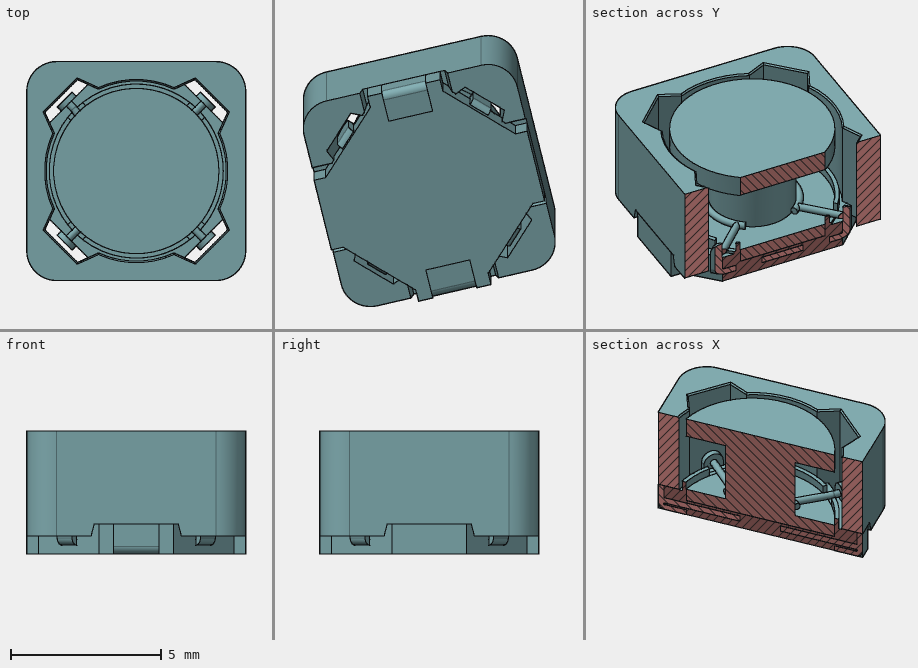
import cadquery as cq
import math


WIDTH = 7.3
HEIGHT = 4.1
CORNER_RADIUS = 1.0
SHIELD_BOTTOM = 0.6
BORE_RADIUS = 3.0
BORE_CHAMFER = 0.05
WINDOW_REACH = 3.53
WINDOW_HALF_WIDTH = 0.77
WINDOW_NECK_HALF_WIDTH = 1.04
NOTCH_TOP = 1.0
NOTCH_TOP_HALF_WIDTH = 1.4
NOTCH_BOTTOM_HALF_WIDTH = 1.505

SHEET = 0.2
OUTER_BEND_RADIUS = 0.25
INNER_BEND_RADIUS = OUTER_BEND_RADIUS - SHEET
PAD_WIDTH = 1.505
FOOT_LENGTH = 1.0
WEB_BOTTOM = 0.29
WEB_INNER_Y = 0.73
ARM_INNER_REACH = 1.24
POST_WIDTH = 0.7

DRUM_RADIUS = 2.75
CORE_RADIUS = 1.46
DRUM_BOTTOM = SHIELD_BOTTOM
LOWER_FLANGE = 0.505
UPPER_FLANGE = 0.75
LOWER_FLANGE_TOP = DRUM_BOTTOM + LOWER_FLANGE
UPPER_FLANGE_BOTTOM = HEIGHT - UPPER_FLANGE

WIRE_RADIUS = 0.125
WIRE_Z = LOWER_FLANGE_TOP + WIRE_RADIUS
COIL_RADIUS = CORE_RADIUS + WIRE_RADIUS
COIL_OVERRUN = 10.0
BEND_REACH = 2.95
SLANT_ANGLE = 7.0

BASE_TOP = NOTCH_TOP
TAB_HALF_WIDTH = 1.24
TAB_ROOT = 3.25
CORNER_FACE_REACH = (TAB_ROOT + TAB_HALF_WIDTH) / math.sqrt(2)
RIM_RADIUS = 2.9
RIM_TOP = 1.4

DIAGONALS = (45, 135, 225, 315)
HALF_WIDTH = WIDTH / 2


def polar(radius, degrees, z):
    """Point at a given distance and direction from the Z axis."""
    angle = math.radians(degrees)
    return cq.Vector(radius * math.cos(angle), radius * math.sin(angle), z)


def disc(radius, bottom, top):
    """Upright cylinder on the Z axis."""
    return cq.Workplane("XY").workplane(offset=bottom).circle(radius).extrude(top - bottom)


def box(x_limits, y_limits, z_limits):
    """Box between three pairs of limits."""
    size = [high - low for low, high in (x_limits, y_limits, z_limits)]
    corner = (x_limits[0], y_limits[0], z_limits[0])
    return cq.Workplane("XY").box(*size, centered=False).translate(corner)


def turned(shape, degrees):
    """Shape turned about the Z axis."""
    return shape.rotate((0, 0, 0), (0, 0, 1), degrees)


def make_bore():
    """Round bore with a tapered window towards each corner."""
    bore = disc(BORE_RADIUS, SHIELD_BOTTOM, HEIGHT)
    neck_reach = math.sqrt(BORE_RADIUS ** 2 - WINDOW_NECK_HALF_WIDTH ** 2)
    window = (
        cq.Workplane("XY").workplane(offset=SHIELD_BOTTOM)
        .moveTo(0, -WINDOW_NECK_HALF_WIDTH)
        .lineTo(neck_reach, -WINDOW_NECK_HALF_WIDTH)
        .lineTo(WINDOW_REACH, -WINDOW_HALF_WIDTH)
        .lineTo(WINDOW_REACH, WINDOW_HALF_WIDTH)
        .lineTo(neck_reach, WINDOW_NECK_HALF_WIDTH)
        .lineTo(0, WINDOW_NECK_HALF_WIDTH)
        .close().extrude(HEIGHT - SHIELD_BOTTOM)
    )
    for angle in DIAGONALS:
        bore = bore.union(turned(window, angle))
    return bore


def make_shield():
    shield = (
        cq.Workplane("XY").workplane(offset=SHIELD_BOTTOM)
        .rect(WIDTH, WIDTH).extrude(HEIGHT - SHIELD_BOTTOM)
        .edges("|Z").fillet(CORNER_RADIUS)
        .cut(make_bore())
    )
    bore_rim = shield.faces(">Z").val().innerWires()[0]
    shield = shield.newObject(bore_rim.Edges()).chamfer(BORE_CHAMFER)

    notch = (
        cq.Workplane("XZ")
        .moveTo(-NOTCH_BOTTOM_HALF_WIDTH, SHIELD_BOTTOM)
        .lineTo(-NOTCH_TOP_HALF_WIDTH, NOTCH_TOP)
        .lineTo(NOTCH_TOP_HALF_WIDTH, NOTCH_TOP)
        .lineTo(NOTCH_BOTTOM_HALF_WIDTH, SHIELD_BOTTOM)
        .close().extrude(HALF_WIDTH, both=True)
    )
    return shield.cut(notch).cut(turned(notch, 90))


def make_drum():
    lower_flange = disc(DRUM_RADIUS, DRUM_BOTTOM, LOWER_FLANGE_TOP)
    core = disc(CORE_RADIUS, DRUM_BOTTOM, HEIGHT)
    upper_flange = disc(DRUM_RADIUS, UPPER_FLANGE_BOTTOM, HEIGHT)
    return lower_flange.union(core).union(upper_flange)


def bent_strip(outer, inner, bottom, top, width):
    """Upright strip facing +X at `outer`, bent at its foot and running in to `inner`."""
    return (
        cq.Workplane("XZ")
        .moveTo(inner, bottom)
        .lineTo(outer - OUTER_BEND_RADIUS, bottom)
        .radiusArc((outer, bottom + OUTER_BEND_RADIUS), -OUTER_BEND_RADIUS)
        .lineTo(outer, top)
        .lineTo(outer - SHEET, top)
        .lineTo(outer - SHEET, bottom + OUTER_BEND_RADIUS)
        .radiusArc((outer - OUTER_BEND_RADIUS, bottom + SHEET), INNER_BEND_RADIUS)
        .lineTo(inner, bottom + SHEET)
        .close().extrude(width / 2, both=True)
    )


def make_post():
    """Round-topped post along +X, with its arm, standing against a corner face."""
    post_face = CORNER_FACE_REACH + SHEET
    strip = bent_strip(post_face, ARM_INNER_REACH, WEB_BOTTOM, WIRE_Z, POST_WIDTH)
    dome = (
        cq.Workplane("YZ").workplane(offset=CORNER_FACE_REACH)
        .center(0, WIRE_Z).circle(POST_WIDTH / 2).extrude(SHEET)
    )
    return strip.union(dome)


def make_front_terminal():
    """Solder pad on the -Y side, joined by a web to the two corner posts."""
    pad = turned(bent_strip(HALF_WIDTH, HALF_WIDTH - FOOT_LENGTH, 0, BASE_TOP, PAD_WIDTH), -90)
    web = box(
        (-PAD_WIDTH / 2, PAD_WIDTH / 2),
        (SHEET - HALF_WIDTH, -WEB_INNER_Y),
        (WEB_BOTTOM, WEB_BOTTOM + SHEET),
    )
    terminal = pad.union(web)
    for angle in (225, 315):
        terminal = terminal.union(turned(make_post(), angle))
    return terminal


def straight_wire(start, end):
    """Straight round wire from one point to another."""
    run = end - start
    return cq.Workplane(cq.Solid.makeCylinder(WIRE_RADIUS, run.Length, start, run))


def make_coil(start_angle, end_angle):
    """Round wire laid on the core, running on a little past both its leads."""
    ring = (
        cq.Workplane("XZ").center(COIL_RADIUS, WIRE_Z).circle(WIRE_RADIUS)
        .revolve(end_angle - start_angle + 2 * COIL_OVERRUN, (-COIL_RADIUS, 0), (-COIL_RADIUS, 1))
    )
    return turned(ring, start_angle - COIL_OVERRUN)


def make_wire(start_angle, end_angle, start_slant):
    """Wire from one post inwards, round the core, and out to the next post."""
    coil_start_angle = start_angle + start_slant
    start = polar(CORNER_FACE_REACH, start_angle, WIRE_Z)
    coil_start = polar(COIL_RADIUS, coil_start_angle, WIRE_Z)
    coil_end = polar(COIL_RADIUS, end_angle, WIRE_Z)
    end = polar(CORNER_FACE_REACH, end_angle, WIRE_Z)

    wire = make_coil(coil_start_angle, end_angle).union(straight_wire(end, coil_end))
    if not start_slant:
        return wire.union(straight_wire(start, coil_start))

    bend = polar(BEND_REACH, start_angle, WIRE_Z)
    bend_ball = cq.Workplane("XY").sphere(WIRE_RADIUS).translate(bend)
    lead = straight_wire(start, bend).union(bend_ball).union(straight_wire(bend, coil_start))
    return wire.union(lead)


def make_base(shield, drum, terminals):
    """Plate with four tabs and a notched rim, recessed for the parts it carries."""
    corner_square = (
        cq.Workplane("XY").rect(2 * CORNER_FACE_REACH, 2 * CORNER_FACE_REACH).extrude(BASE_TOP)
    )
    straight_square = cq.Workplane("XY").rect(2 * TAB_ROOT, 2 * TAB_ROOT).extrude(BASE_TOP)
    tab_bar = cq.Workplane("XY").rect(WIDTH, 2 * TAB_HALF_WIDTH).extrude(BASE_TOP)
    plate = turned(corner_square, 45).intersect(straight_square)
    plate = plate.union(tab_bar).union(turned(tab_bar, 90))

    rim = disc(RIM_RADIUS, BASE_TOP, RIM_TOP).cut(disc(DRUM_RADIUS, BASE_TOP, RIM_TOP))
    rim_notch = box(
        (0, HALF_WIDTH), (-POST_WIDTH / 2, POST_WIDTH / 2), (LOWER_FLANGE_TOP, RIM_TOP)
    )
    for angle in DIAGONALS:
        rim = rim.cut(turned(rim_notch, angle))

    base = plate.union(rim).cut(shield).cut(drum)
    for terminal in terminals:
        base = base.cut(terminal)

    bend_relief = box(
        (-PAD_WIDTH / 2, PAD_WIDTH / 2),
        (-HALF_WIDTH, OUTER_BEND_RADIUS - HALF_WIDTH),
        (0, OUTER_BEND_RADIUS),
    )
    return base.cut(bend_relief).cut(turned(bend_relief, 180))


shield = make_shield()
drum = make_drum()
terminals = [turned(make_front_terminal(), angle) for angle in (0, 180)]
wires = [make_wire(135, 225, SLANT_ANGLE), make_wire(-45, 45, 0)]
base = make_base(shield, drum, terminals)

bodies = [shield, drum, base, *terminals, *wires]
result = cq.Compound.makeCompound([body.solids().val() for body in bodies])